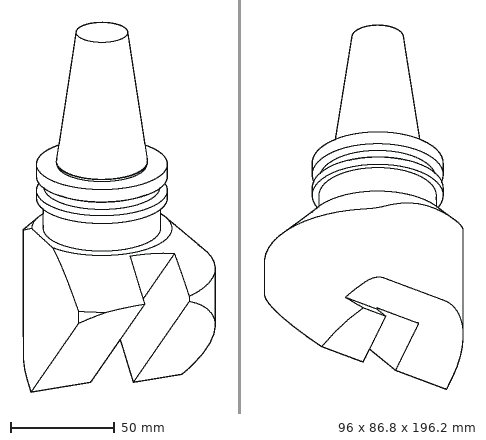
import cadquery as cq
import math

total_height = 196.2
taper_bottom_z = 128.2
flange_top_z = 127.0
groove_upper_z = 120.5
groove_lower_z = 113.2
flange_bottom_z = 109.1
body_top_z = 93.2

taper_top_radius = 25.1 / 2
taper_bottom_radius = 44.4 / 2
neck_radius = 21.8
flange_radius = 63.5 / 2
groove_radius = 56.3 / 2
groove_side_height = 1.8
collar_radius = 57.0 / 2

body_radius = 55.0
shoulder_radius = 34.0
side_flat_x = -42.8
front_flat_y = -31.4
front_corner_radius = 24.0
rear_corner_radius = 12.5

lug_tip_x = -20.8
lug_height = 9.6
lug_length = 25.1
slot_depth = 25.7
slot_front_y = 0.0
slot_rear_y = 25.3

clearance = 117.8


def make_shank():
    profile = [
        (0, body_top_z),
        (collar_radius, body_top_z),
        (collar_radius, flange_bottom_z),
        (flange_radius, flange_bottom_z),
        (flange_radius, groove_lower_z),
        (groove_radius, groove_lower_z + groove_side_height),
        (groove_radius, groove_upper_z - groove_side_height),
        (flange_radius, groove_upper_z),
        (flange_radius, flange_top_z),
        (neck_radius, flange_top_z),
        (neck_radius, taper_bottom_z),
        (taper_bottom_radius, taper_bottom_z),
        (taper_top_radius, total_height),
        (0, total_height),
    ]
    return cq.Workplane("XZ").polyline(profile).close().revolve(360, (0, 0), (0, 1))


def make_coned_cylinder():
    """Round blank whose top edge falls away at 45 degrees."""
    cone_bottom_z = body_top_z - (body_radius - shoulder_radius)
    profile = [
        (0, 0),
        (body_radius, 0),
        (body_radius, cone_bottom_z),
        (shoulder_radius, body_top_z),
        (0, body_top_z),
    ]
    return cq.Workplane("XZ").polyline(profile).close().revolve(360, (0, 0), (0, 1))


def make_flatted_column():
    """Column with two flats and rounded corners beside the left flat."""
    front_flat_end_x = math.sqrt(body_radius**2 - front_flat_y**2)
    front_center_x = side_flat_x + front_corner_radius
    front_center_y = front_flat_y + front_corner_radius
    front_mid_offset = front_corner_radius * math.sqrt(0.5)

    rear_center_x = side_flat_x + rear_corner_radius
    center_distance = body_radius - rear_corner_radius
    rear_center_y = math.sqrt(center_distance**2 - rear_center_x**2)
    tangent_angle = math.atan2(rear_center_y, rear_center_x)
    rear_mid_angle = (tangent_angle + math.pi) / 2
    rear_tangent = (body_radius * math.cos(tangent_angle), body_radius * math.sin(tangent_angle))
    rear_mid = (
        rear_center_x + rear_corner_radius * math.cos(rear_mid_angle),
        rear_center_y + rear_corner_radius * math.sin(rear_mid_angle),
    )
    front_mid = (front_center_x - front_mid_offset, front_center_y - front_mid_offset)
    body_arc_mid_angle = (tangent_angle + math.atan2(front_flat_y, front_flat_end_x)) / 2
    body_arc_mid = (
        body_radius * math.cos(body_arc_mid_angle),
        body_radius * math.sin(body_arc_mid_angle),
    )
    return (
        cq.Workplane("XY")
        .moveTo(front_center_x, front_flat_y)
        .lineTo(front_flat_end_x, front_flat_y)
        .threePointArc(body_arc_mid, rear_tangent)
        .threePointArc(rear_mid, (side_flat_x, rear_center_y))
        .lineTo(side_flat_x, front_center_y)
        .threePointArc(front_mid, (front_center_x, front_flat_y))
        .close()
        .extrude(body_top_z)
    )


def tilted_block(along, outward, y_range):
    """Block set square to the mounting face, measured from the lug tip.

    'along' is the range up the mounting face and 'outward' the range of
    depth from it into the body.
    """
    tilted = cq.Plane(origin=(lug_tip_x, 0, 0), xDir=(1, 0, 1), normal=(0, -1, 0))
    corners = [
        (along[0], outward[0]),
        (along[1], outward[0]),
        (along[1], outward[1]),
        (along[0], outward[1]),
    ]
    block = cq.Workplane(tilted).polyline(corners).close().extrude(y_range[0] - y_range[1])
    return block.translate((0, y_range[0], 0))


blank = make_coned_cylinder()
whole_depth = (-clearance, clearance)
body_space = tilted_block((lug_height, 2 * clearance), (0, 2 * clearance), whole_depth)
body = blank.intersect(make_flatted_column()).intersect(body_space)

lug_overlap = 2.0
lug_space = tilted_block((0, lug_height + lug_overlap), (0, lug_length), (slot_rear_y, clearance))
lug = blank.intersect(lug_space)

slot = tilted_block((-clearance, 2 * clearance), (-clearance, slot_depth), (slot_front_y, slot_rear_y))

result = body.union(lug).cut(slot).union(make_shank())